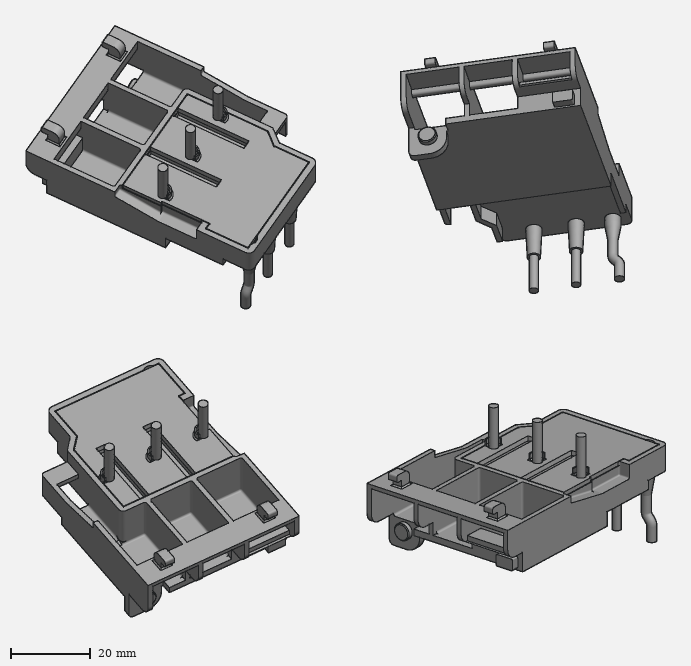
import cadquery as cq
import math

overlap = 0.65

length = 65.0
depth = 44.8
floor_bottom = -13.7
plate_bottom = -7.2
wall = 1.4
wing_end = 50.05
shoulder_y = 36.9
step_end = 53.8
step_y = 33.75
corner_radius = 1.75
wing_radius = 0.9
body_end = 40.3

skirt_bottom = -11.2
skirt_end = 59.8
front_skirt_bottom = -9.75
front_skirt_end = 56.9

end_notch_x = 6.05
end_notch_bottom = -8.3
end_radius = 2.9
back_foot_end = 9.0
back_foot_y = 34.65
shelf_bottom = -1.1
shelf_root = -1.4
lip_bottom = -3.0
lip_radius = 0.65

cell_start = 7.4
cell_end = 24.75
cell_fillet = 0.6
cell_floor = -11.9
back_cell = (29.85, depth - wall)
middle_cell = (16.2, 28.55)
front_cell = (1.35, 14.8)
sill_top = -6.6
sill_start = 2.5
sill_end = 7.9
sill_window_floor = -8.05

channel_floor = -11.05
channel_ramp_end = 25.9
channel_corner_radius = 1.3
bridge_start = 44.85
bridge_bottom = -5.3

ledge_start = 25.7
ledge_slope_end = 38.35
ledge_high = -1.95
ledge_low = -3.95
front_ledge_end = 49.2
ledge_depth = 2.65
deep_ledge_depth = 3.2
deep_ledge_start = 37.5
ledge_fillet = 0.45

cover_thickness = 1.2
cover_gap = 0.2
cover_start = 26.2
cover_step_x = 50.95
cover_back = shoulder_y - wall
cover_step_y = step_y - wall
cover_diagonal_start = 49.5
cover_diagonal_end = 53.1
cover_end = 63.3
slot_end = 46.85
slot_width = 2.6
slot_depth = 2.1
slot_bottom_inset = 0.45
slot_centers = (15.3, 29.1)

top_pin_x = 36.45
top_pin_radius = 1.27
top_pin_top = 11.4
top_pin_pitch = 13.9
middle_pin_y = 19.25
top_pin_ys = [middle_pin_y + i * top_pin_pitch for i in (-1, 0, 1)]
guard_radius = 2.2
guard_inner_radius = 1.8
guard_height = 1.9
guard_tail = 0.9

hook_ys = (7.1, 37.6)
hook_width = 2.7
hook_nose = 1.2
hook_front = 3.05
hook_back = 6.4
hook_under = 2.15
hook_top = 4.15
hook_back_radius = 2.1
hook_nose_radius = 0.6
flare = 0.4

tab_start = 9.0
tab_end = 10.9
tab_y = 35.1
tab_bottom = -20.0
tab_outer_radius = 1.55
tab_inner_radius = 4.2
button_start = 7.5
button_y = 39.8
button_z = -14.9
button_radius = 2.35
button_chamfer = 0.25
stop_start = 3.9
stop_y = (1.55, 6.75)
stop_z = (-13.2, -9.95)
stop_radius = 0.4

bottom_pin_x = 61.8
bottom_pin_end = -26.45
straight_pin_ys = (13.9, 24.75)
straight_pin_radius = 1.2
boss_top_radius = 2.1
boss_end_radius = 1.7
boss_end = -15.9
bent_pin_radius = 1.3
bent_pin_y = 4.5
bent_tip_y = 2.8
bend_start = -18.9
bend_radius = 1.75
bend_angle = math.radians(41)
head_radius = 2.1
head_chamfer = 0.3
head_end = -9.5
head_cone_end = -14.1


def box(x, y, z):
    """Box between the pairs of limits x, y and z."""
    size = (x[1] - x[0], y[1] - y[0], z[1] - z[0])
    return cq.Workplane("XY").box(*size, centered=False).translate((x[0], y[0], z[0]))


def side_profile(points, y):
    """Prism between the limits y, with a closed outline of (x, z) points."""
    return cq.Workplane("XZ", origin=(0, y[1], 0)).polyline(points).close().extrude(y[1] - y[0])


def cylinder(x, y, radius, z):
    """Upright cylinder between the limits z."""
    return cq.Workplane("XY", origin=(x, y, z[0])).circle(radius).extrude(z[1] - z[0])


def cone(x, y, top, bottom):
    """Upright truncated cone between two (radius, z) ends."""
    lower = cq.Workplane("XY", origin=(x, y, bottom[1])).circle(bottom[0])
    return lower.workplane(offset=top[1] - bottom[1]).circle(top[0]).loft()


def flared_base(x, y):
    """Sloped foot on the deck, narrowing upwards to the rectangle x by y."""
    outer = (x[1] - x[0] + 2 * flare, y[1] - y[0] + 2 * flare)
    center = ((x[0] + x[1]) / 2, (y[0] + y[1]) / 2)
    return cq.Workplane("XY").center(*center).rect(*outer).extrude(flare, taper=45)


def outline_block():
    """Plate with the right-hand outline, and the deeper body on its left."""
    points = [
        (0, 0),
        (length, 0),
        (length, step_y),
        (step_end, step_y),
        (wing_end, shoulder_y),
        (wing_end, depth),
        (0, depth),
    ]
    plate = cq.Workplane("XY").polyline(points).close().extrude(plate_bottom)
    for x, y, radius in (
        (length, 0, corner_radius),
        (length, step_y, corner_radius),
        (wing_end, depth, wing_radius),
    ):
        plate = plate.edges(cq.selectors.NearestToPointSelector((x, y, plate_bottom / 2))).fillet(radius)
    body = box((0, body_end), (0, depth), (floor_bottom, 0))
    return plate.union(body)


def back_skirt():
    """Wall that follows the stepped back edge below the plate."""
    points = [
        (body_end, shoulder_y),
        (wing_end, shoulder_y),
        (step_end, step_y),
        (skirt_end, step_y),
        (skirt_end, cover_step_y),
        (cover_diagonal_end, cover_step_y),
        (cover_diagonal_start, cover_back),
        (body_end, cover_back),
    ]
    wall_top = cq.Workplane("XY", origin=(0, 0, plate_bottom))
    return wall_top.polyline(points).close().extrude(skirt_bottom - plate_bottom)


def front_and_wing_skirts():
    front = box((body_end, front_skirt_end), (0, wall), (front_skirt_bottom, plate_bottom))
    wing = box((body_end, wing_end), (depth - wall, depth), (skirt_bottom, plate_bottom))
    wing = wing.edges("|Z and >X and >Y").fillet(wing_radius)
    return front.union(wing)


def end_notch(y, end, bottom):
    """Space under the left end, leaving a rounded lower corner above it."""
    return (
        cq.Workplane("XZ", origin=(0, y[1], 0))
        .moveTo(-overlap, floor_bottom - overlap)
        .lineTo(end, floor_bottom - overlap)
        .lineTo(end, bottom)
        .lineTo(end_radius, bottom)
        .radiusArc((0, bottom + end_radius), end_radius)
        .lineTo(-overlap, bottom + end_radius)
        .close()
        .extrude(y[1] - y[0])
    )


def cell(y, start=cell_start):
    """Pocket open at the deck, with rounded far corners and floor edges."""
    pocket = box((start, cell_end), y, (cell_floor, overlap))
    pocket = pocket.edges("|Z and >X").fillet(cell_fillet)
    return pocket.faces("<Z").edges("|X").fillet(cell_fillet)


def window(y, floor):
    """Opening from the left end into a cell, passing under the shelf and its rounded lip."""
    opening = side_profile(
        [
            (-overlap, floor),
            (cell_start, floor),
            (cell_start, lip_bottom),
            (end_notch_x, lip_bottom),
            (end_notch_x, shelf_root),
            (0, shelf_bottom),
            (-overlap, shelf_bottom),
        ],
        y,
    )
    lip_edge = cq.selectors.NearestToPointSelector((end_notch_x, sum(y) / 2, lip_bottom))
    return opening.edges(lip_edge).fillet(lip_radius)


def front_window():
    """Opening into the front cell, over a raised sill."""
    before_sill = window(front_cell, sill_window_floor).intersect(
        box((-overlap, sill_start), front_cell, (floor_bottom, overlap))
    )
    shaft = box((cell_start, sill_end), front_cell, (sill_top, overlap))
    return window(front_cell, sill_top).union(before_sill).union(shaft)


def channel():
    """Trough behind the cover, open under the bridge at the wing's end."""
    y = (shoulder_y, depth - wall)
    ramp_start = cell_end - cell_fillet
    trough = side_profile(
        [
            (ramp_start, overlap),
            (ramp_start, cell_floor),
            (channel_ramp_end, channel_floor),
            (bridge_start, channel_floor),
            (bridge_start, overlap),
        ],
        y,
    )
    trough = trough.faces("<Z[1]").edges("|X").fillet(cell_fillet)
    under_bridge = box((body_end, wing_end + overlap), y, (floor_bottom, bridge_bottom))
    above_bridge = box((bridge_start, wing_end + overlap), y, (ledge_low, overlap))
    return trough.union(under_bridge).union(above_bridge)


def divider_corner():
    """Material outside the rounded corner between the back cell and the channel."""
    center = (cell_end + channel_corner_radius, shoulder_y - channel_corner_radius)
    z = (channel_floor, overlap)
    corner = box((cell_end, center[0]), (center[1], shoulder_y), z)
    return corner.cut(cylinder(*center, channel_corner_radius, z))


def ledge(end, y):
    """Cut in a long edge that drops, slopes down and then runs level."""
    cut = side_profile(
        [
            (ledge_start, overlap),
            (ledge_start, ledge_high),
            (ledge_slope_end, ledge_low),
            (end, ledge_low),
            (end, overlap),
        ],
        y,
    )
    drop_corner = cq.selectors.NearestToPointSelector((ledge_start, sum(y) / 2, ledge_high))
    return cut.edges(drop_corner).fillet(ledge_fillet)


def ledges():
    front = ledge(front_ledge_end, (-overlap, ledge_depth))
    front = front.faces("<Z").edges(">X").fillet(ledge_fillet)
    deep = ledge(front_ledge_end, (-overlap, deep_ledge_depth))
    deep = deep.faces("<Z").edges(">X").fillet(ledge_fillet)
    deep = deep.intersect(
        box((deep_ledge_start, length), (-overlap, deep_ledge_depth), (ledge_low, overlap))
    )
    front = front.union(deep)
    inner_floor = cq.selectors.BoxSelector(
        (ledge_start + overlap, ledge_depth - ledge_fillet, 2 * ledge_low),
        (front_ledge_end - overlap, deep_ledge_depth + overlap, ledge_high),
    )
    front = front.edges(inner_floor).edges("not |Z").edges("not |Y").fillet(ledge_fillet)
    back = ledge(wing_end + overlap, (depth - wall, depth + overlap))
    return front.union(back)


def cover_outline(gap):
    """Cover area; gap is the clearance kept inside the recess."""
    points = [
        (cover_start, ledge_depth),
        (deep_ledge_start, ledge_depth),
        (deep_ledge_start, deep_ledge_depth),
        (cover_step_x, deep_ledge_depth),
        (cover_step_x, wall),
        (cover_end, wall),
        (cover_end, cover_step_y),
        (cover_diagonal_end, cover_step_y),
        (cover_diagonal_start, cover_back),
        (cover_start, cover_back),
    ]
    area = cq.Workplane("XY").polyline(points).close()
    if gap:
        area = area.offset2D(-gap, "intersection")
    return area.extrude(-cover_thickness)


def cover_slots():
    """Sloped-sided slots through the cover and into the housing."""
    start = cover_start + cover_gap
    slots = cq.Workplane("XY")
    for y in slot_centers:
        top = cq.Workplane("XY").center((start + slot_end) / 2, y).rect(slot_end - start, slot_width)
        bottom = top.workplane(offset=-slot_depth).rect(
            slot_end - start - 2 * slot_bottom_inset, slot_width - 2 * slot_bottom_inset
        )
        slots = slots.add(bottom.loft())
    return slots.combine()


def hook(y):
    """Hook on the deck that points to the left end."""
    sides = (y - hook_width / 2, y + hook_width / 2)
    body = side_profile(
        [
            (hook_front, 0),
            (hook_front, hook_under),
            (hook_nose, hook_under),
            (hook_nose, hook_top),
            (hook_back, hook_top),
            (hook_back, 0),
        ],
        sides,
    )
    body = body.edges("|Y and >X and >Z").fillet(hook_back_radius)
    body = body.edges("|Y and <X").fillet(hook_nose_radius)
    return body.union(flared_base((hook_front, hook_back), sides))


def tab():
    """Rounded tab below the floor, with a round button on its left face."""
    plate = box((tab_start, tab_end), (tab_y, depth), (tab_bottom, cell_floor))
    plate = plate.edges("|X and <Z and >Y").fillet(tab_outer_radius)
    plate = plate.edges("|X and <Z and <Y").fillet(tab_inner_radius)
    button = (
        cq.Workplane("YZ", origin=(button_start, button_y, button_z))
        .circle(button_radius)
        .extrude(tab_start - button_start)
        .faces("<X")
        .chamfer(button_chamfer)
    )
    return plate.union(button)


def stop_block():
    block = box((stop_start, end_notch_x), stop_y, stop_z)
    return block.edges("|X").fillet(stop_radius)


def straight_pin(y):
    """Pin moulded onto the housing, with its tapered boss."""
    boss = cone(bottom_pin_x, y, (boss_top_radius, plate_bottom), (boss_end_radius, boss_end))
    pin = cylinder(bottom_pin_x, y, straight_pin_radius, (bottom_pin_end, boss_end))
    return boss.union(pin)


def build_housing():
    housing = outline_block().union(back_skirt()).union(front_and_wing_skirts())
    housing = housing.cut(end_notch((-overlap, back_foot_y), end_notch_x, end_notch_bottom))
    housing = housing.cut(end_notch((back_foot_y, depth + overlap), back_foot_end, skirt_bottom))
    housing = housing.cut(cell(back_cell)).cut(window(back_cell, cell_floor))
    housing = housing.cut(cell(middle_cell)).cut(window(middle_cell, cell_floor))
    housing = housing.cut(cell(front_cell, sill_end)).cut(front_window())
    floor_gap = box((0, back_foot_end), (back_foot_y, depth - wall), (floor_bottom, lip_bottom))
    housing = housing.cut(floor_gap).cut(channel()).cut(divider_corner())
    housing = housing.cut(ledges()).cut(cover_outline(0)).cut(cover_slots())
    housing = housing.union(tab()).union(stop_block())
    for y in hook_ys:
        housing = housing.union(hook(y))
    for y in straight_pin_ys:
        housing = housing.union(straight_pin(y))
    return housing.cut(cylinder(bottom_pin_x, bent_pin_y, head_radius, (plate_bottom, overlap)))


def pin_guard(y):
    """Part of a ring around a top pin, kept within the cover, with a foot sloped on both sides."""
    ring = cylinder(top_pin_x, y, guard_radius, (0, guard_height))
    ring = ring.union(cone(top_pin_x, y, (guard_radius, flare), (guard_radius + flare, 0)))
    ring = ring.cut(cylinder(top_pin_x, y, guard_inner_radius, (flare, guard_height)))
    ring = ring.cut(cone(top_pin_x, y, (guard_inner_radius, flare), (guard_inner_radius - flare, 0)))
    reach = 2 * guard_radius
    kept_x = (top_pin_x - guard_tail, top_pin_x + reach)
    kept_y = (y - guard_tail, min(y + reach, cover_back - cover_gap))
    return ring.intersect(box(kept_x, kept_y, (0, guard_height)))


def build_cover():
    cover = cover_outline(cover_gap).cut(cover_slots())
    for y in top_pin_ys:
        cover = cover.union(pin_guard(y))
        cover = cover.cut(cylinder(top_pin_x, y, top_pin_radius, (-cover_thickness, 0)))
    return cover


def build_top_pin(y):
    return cylinder(top_pin_x, y, top_pin_radius, (-cover_thickness, top_pin_top))


def build_bent_pin():
    """Offset pin whose wide head passes up through the housing to the cover."""
    head = cylinder(bottom_pin_x, bent_pin_y, head_radius, (head_end, -cover_thickness))
    head = head.faces(">Z").chamfer(head_chamfer)
    taper = cone(bottom_pin_x, bent_pin_y, (head_radius, head_end), (bent_pin_radius, head_cone_end))
    arc_shift = bend_radius * (1 - math.cos(bend_angle))
    arc_drop = bend_radius * math.sin(bend_angle)
    slant_drop = (bent_pin_y - bent_tip_y - 2 * arc_shift) / math.tan(bend_angle)
    bend_end = bend_start - 2 * arc_drop - slant_drop
    path = (
        cq.Workplane("YZ", origin=(bottom_pin_x, 0, 0))
        .moveTo(bent_pin_y, head_cone_end)
        .lineTo(bent_pin_y, bend_start)
        .radiusArc((bent_pin_y - arc_shift, bend_start - arc_drop), bend_radius)
        .lineTo(bent_tip_y + arc_shift, bend_end + arc_drop)
        .radiusArc((bent_tip_y, bend_end), -bend_radius)
        .lineTo(bent_tip_y, bottom_pin_end)
    )
    start = cq.Workplane("XY", origin=(bottom_pin_x, bent_pin_y, head_cone_end))
    shank = start.circle(bent_pin_radius).sweep(path)
    return head.union(taper).union(shank)


housing = build_housing()
cover = build_cover()
bent_pin = build_bent_pin()
top_pins = [build_top_pin(y) for y in top_pin_ys]

result = cq.Compound.makeCompound(
    [housing.val(), cover.val(), bent_pin.val(), *[pin.val() for pin in top_pins]]
)